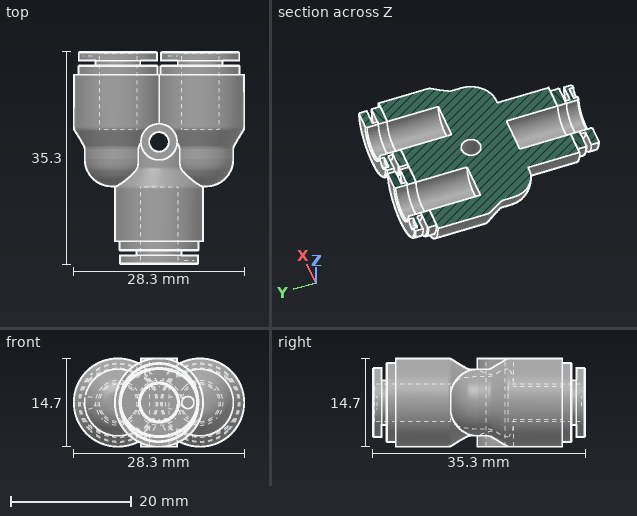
import cadquery as cq

overall_length = 35.3
overall_width = 28.3
body_diameter = 14.7
branch_offset = (overall_width - body_diameter) / 2

sleeve_end = overall_length / 2
head_thickness = 1.5
collar_end = 15.4
body_mouth = 13.85
shoulder_outer = 4.8
shoulder_inner = 1.8

throat_diameter = 11.1
shoulder_blend_radius = 1.0
branch_dome_end = -4.73
dome_flat_diameter = 2.0
dome_radius = (throat_diameter - dome_flat_diameter) / 2
bore_diameter = 6.2

eye_diameter = 6.0
eye_hole_diameter = 3.2
eye_y = 2.7

collar_diameter = 13.15
collar_chamfer = 0.18

head_width = 13.03
head_height = 11.5
head_chamfer = 0.2
neck_diameter = 7.5
bore_chamfer = 0.25
dimple_diameter = 2.0
dimple_offset = 4.8
dimple_depth = 0.7


def cylinder_along_y(diameter, y_start, y_end):
    """Cylinder on the Y axis between two stations, y_start being the lower one."""
    base = cq.Workplane("XZ", origin=(0, y_start, 0))
    return base.circle(diameter / 2).extrude(y_start - y_end)


def place_on_leg(body):
    """Turn a body made for the +Y direction onto the leg that points to -Y."""
    return body.rotate((0, 0, 0), (0, 0, 1), 180)


def place_on_branch(body, side):
    """Move a body onto the left (side = -1) or right (side = 1) branch."""
    return body.translate((side * branch_offset, 0, 0))


def make_barrel(inner_end):
    """Stepped barrel pointing to +Y: wide mouth, blended conical shoulder, narrow throat."""
    profile = (
        cq.Workplane("XY")
        .moveTo(0, inner_end)
        .lineTo(throat_diameter / 2, inner_end)
        .lineTo(throat_diameter / 2, shoulder_inner)
        .lineTo(body_diameter / 2, shoulder_outer)
        .lineTo(body_diameter / 2, body_mouth)
        .lineTo(0, body_mouth)
        .close()
    )
    barrel = profile.revolve(360, (0, 0, 0), (0, 1, 0))
    shoulder_edges = barrel.faces("%CONE").edges("%CIRCLE")
    return shoulder_edges.fillet(shoulder_blend_radius)


def make_housing():
    """Y-shaped body with three blind ports and a mounting eye."""
    housing = place_on_leg(make_barrel(-eye_y))
    branch = make_barrel(branch_dome_end).faces("<Y").edges().fillet(dome_radius)
    for side in (-1, 1):
        housing = housing.union(place_on_branch(branch, side))

    eye_plane = cq.Workplane("XY", origin=(0, eye_y, 0))
    eye = eye_plane.circle(eye_diameter / 2).extrude(body_diameter / 2, both=True)
    eye_hole = eye_plane.circle(eye_hole_diameter / 2).extrude(body_diameter, both=True)
    housing = housing.union(eye).cut(eye_hole)

    bore = cylinder_along_y(bore_diameter, shoulder_outer, body_mouth)
    housing = housing.cut(place_on_leg(bore))
    for side in (-1, 1):
        housing = housing.cut(place_on_branch(bore, side))
    return housing


def make_collar():
    """Ring seated on the mouth of a port that points to +Y."""
    ring = cylinder_along_y(collar_diameter, body_mouth, collar_end)
    ring = ring.faces(">Y").edges().chamfer(collar_chamfer)
    return ring.cut(cylinder_along_y(bore_diameter, body_mouth, collar_end))


def make_release_sleeve():
    """Oval-headed sleeve standing on the collar of a port that points to +Y."""
    head_base = sleeve_end - head_thickness
    head = (
        cq.Workplane("XZ", origin=(0, head_base, 0))
        .ellipse(head_width / 2, head_height / 2)
        .extrude(-head_thickness)
        .faces(">Y")
        .edges()
        .chamfer(head_chamfer)
    )
    sleeve = head.union(cylinder_along_y(neck_diameter, collar_end, head_base))
    sleeve = sleeve.cut(cylinder_along_y(bore_diameter, collar_end, sleeve_end))
    bore_rim = sleeve.faces(">Y").edges("%CIRCLE")
    sleeve = bore_rim.chamfer(bore_chamfer)

    dimple = cylinder_along_y(dimple_diameter, sleeve_end - dimple_depth, sleeve_end)
    return sleeve.cut(dimple.translate((-dimple_offset, 0, 0)))


def place_on_ports(body):
    """One separate copy of a port body for the leg and for each branch."""
    copies = [place_on_leg(body)]
    for side in (-1, 1):
        copies.append(place_on_branch(body, side))
    return copies


housing = make_housing()
collars = place_on_ports(make_collar())
release_sleeves = place_on_ports(make_release_sleeve())

bodies = [housing] + collars + release_sleeves
result = cq.Compound.makeCompound([body.solids().val() for body in bodies])